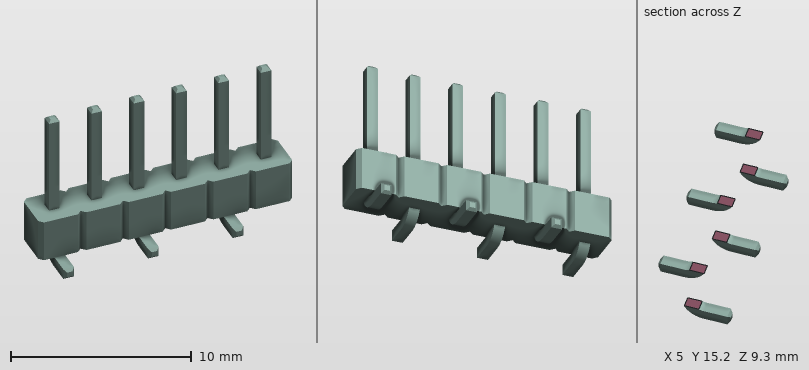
import cadquery as cq
import math

pin_count = 6
row_length = 15.24
pitch = row_length / pin_count
housing_width = pitch
housing_height = pitch
corner_cut = pitch / 10
housing_bottom = 0.76

wire = 0.64
foot_span = 5.0
pin_top = 9.3
bend_inner_radius = wire
tip_length = wire / 4
tip_inset = tip_length

bend_outer_radius = bend_inner_radius + wire
bend_center_x = -(wire / 2 + bend_inner_radius)
bend_center_z = bend_outer_radius
foot_shoulder_x = -(foot_span / 2 - tip_length)


def housing_cell(y):
    """One housing block with its four upright edges cut at 45 degrees."""
    return (
        cq.Workplane("XY")
        .box(housing_width, pitch, housing_height, centered=(True, True, False))
        .edges("|Z")
        .chamfer(corner_cut)
        .translate((0, y, housing_bottom))
    )


def tapered_tip():
    """Truncated pyramid on the XY plane, closing off a square wire end."""
    tip_wire = wire - 2 * tip_inset
    return (
        cq.Workplane("XY")
        .rect(wire, wire)
        .workplane(offset=tip_length)
        .rect(tip_wire, tip_wire)
        .loft(combine=True)
    )


def bent_pin():
    """Upright pin with its foot pointing toward -X, centred on Y = 0."""
    half = wire / 2
    shoulder_z = pin_top - tip_length
    diagonal = math.sqrt(0.5)

    def bend_middle(radius):
        return (bend_center_x + radius * diagonal, bend_center_z - radius * diagonal)

    shank = (
        cq.Workplane("XZ")
        .moveTo(foot_shoulder_x, 0)
        .lineTo(bend_center_x, 0)
        .threePointArc(bend_middle(bend_outer_radius), (half, bend_center_z))
        .lineTo(half, shoulder_z)
        .lineTo(-half, shoulder_z)
        .lineTo(-half, bend_center_z)
        .threePointArc(bend_middle(bend_inner_radius), (bend_center_x, wire))
        .lineTo(foot_shoulder_x, wire)
        .close()
        .extrude(half, both=True)
    )
    top_tip = tapered_tip().translate((0, 0, shoulder_z))
    foot_tip = (
        tapered_tip()
        .rotate((0, 0, 0), (0, 1, 0), -90)
        .translate((foot_shoulder_x, 0, half))
    )
    return shank.union(top_tip).union(foot_tip)


left_pin = bent_pin()
right_pin = left_pin.rotate((0, 0, 0), (0, 0, 1), 180)
cell_positions = [(row_length - pitch) / 2 - i * pitch for i in range(pin_count)]

result = housing_cell(cell_positions[0])
for y in cell_positions[1:]:
    result = result.union(housing_cell(y))

for i, y in enumerate(cell_positions):
    pin = left_pin if i % 2 == 0 else right_pin
    result = result.union(pin.translate((0, y, 0)))

result = result.clean()